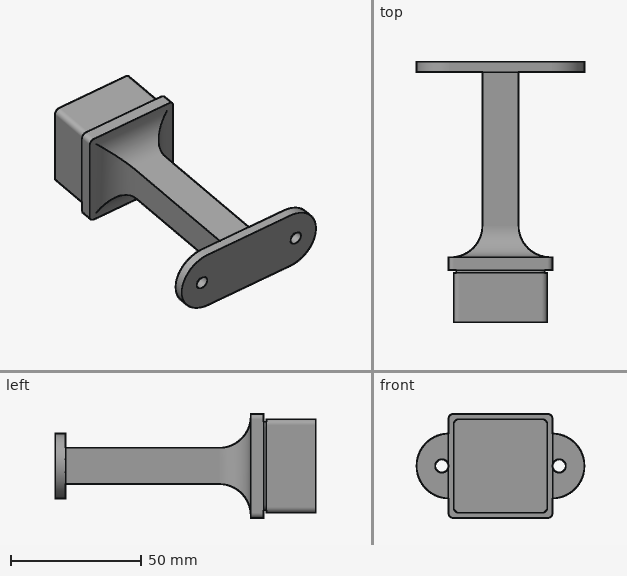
import cadquery as cq
import math

overall_length = 100.0

plate_length = 64.5
plate_height = 25.0
plate_thickness = 4.0
hole_spacing = 45.0
hole_diameter = 5.0

bar_width = 14.0
flare_radius = 12.0

collar_width = 40.0
collar_thickness = 5.0
collar_corner_radius = 2.0

plug_width = 36.0
plug_length = 19.0
groove_width = 34.0
groove_length = 1.0
plug_corner_radius = 2.2

plug_front = -overall_length / 2
groove_front = plug_front + plug_length
collar_front = groove_front + groove_length
flare_front = collar_front + collar_thickness
bar_front = flare_front + flare_radius
plate_back = overall_length / 2
plate_front = plate_back - plate_thickness


def xz_plane(y):
    """Plane across the part at y; extrusions from it run towards +Y."""
    return cq.Workplane(cq.Plane(origin=(0, y, 0), xDir=(-1, 0, 0), normal=(0, 1, 0)))


def square_block(front, length, width):
    return xz_plane(front).rect(width, width).extrude(length)


def rounded_block(front, length, width, corner_radius):
    return square_block(front, length, width).edges("|Y").fillet(corner_radius)


def flare_profile():
    """Bar outline that spreads to the collar, extruded across its full width in Z."""
    bar_half = bar_width / 2
    flare_half = bar_half + flare_radius
    diagonal = flare_radius * math.sin(math.pi / 4)
    middle_x = flare_half - diagonal
    middle_y = bar_front - diagonal
    return (
        cq.Workplane("XY")
        .moveTo(-flare_half, flare_front)
        .lineTo(flare_half, flare_front)
        .threePointArc((middle_x, middle_y), (bar_half, bar_front))
        .lineTo(-bar_half, bar_front)
        .threePointArc((-middle_x, middle_y), (-flare_half, flare_front))
        .close()
        .extrude(flare_half, both=True)
    )


def make_flare():
    """Four-sided flare: the same concave profile in both directions."""
    profile = flare_profile()
    turned_profile = profile.rotate((0, 0, 0), (0, 1, 0), 90)
    return profile.intersect(turned_profile)


def make_mounting_plate():
    """Round-ended plate with two screw holes."""
    return (
        xz_plane(plate_front)
        .slot2D(plate_length, plate_height)
        .extrude(plate_thickness)
        .faces("<Y")
        .workplane(origin=(0, plate_front, 0))
        .pushPoints([(-hole_spacing / 2, 0), (hole_spacing / 2, 0)])
        .hole(hole_diameter)
    )


def make_arm():
    """Square bar flaring into a collar, with an undercut plug in front of it."""
    plug = rounded_block(plug_front, plug_length, plug_width, plug_corner_radius)
    groove = rounded_block(groove_front, groove_length, groove_width, plug_corner_radius)
    collar = rounded_block(collar_front, collar_thickness, collar_width, collar_corner_radius)
    bar = square_block(bar_front, plate_front - bar_front, bar_width)
    return plug.union(groove).union(collar).union(make_flare()).union(bar)


mounting_plate = make_mounting_plate()
arm = make_arm()

result = cq.Compound.makeCompound([mounting_plate.val(), arm.val()])